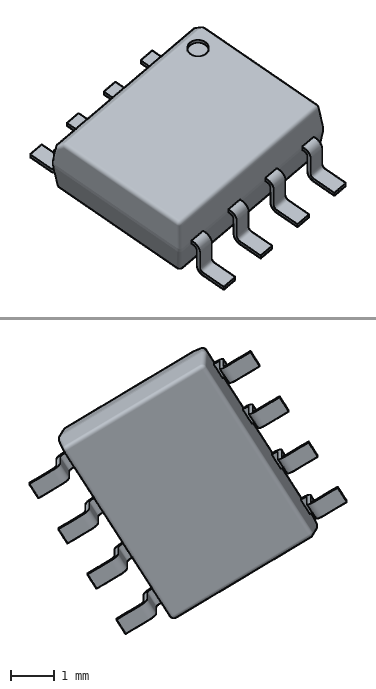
import cadquery as cq
import math

overall_length = 6.0
body_length = 4.0
body_width = 5.0
top_height = 1.75
standoff = 0.065

lead_thickness = 0.11
lead_width = 0.4
lead_pitch = 1.27
leads_per_side = 4
foot_length = 0.635
bend_radius = 0.095
lead_top = 0.965

band_top = lead_top
band_bottom = lead_top - lead_thickness
draft_angle = 6.0
edge_radius = 0.1
bevel_leg = 0.305

dimple_diameter = 0.5
dimple_depth = 0.1
dimple_inset = 0.67


def make_tapered_block(height):
    """Block that stands on the XY plane and narrows upward from the full body outline."""
    return (
        cq.Workplane("XY")
        .rect(body_length, body_width)
        .extrude(height, taper=draft_angle)
    )


def round_all_but_base(block):
    """Fillet every edge of a block except those of its bottom face."""
    base_edges = cq.selectors.DirectionMinMaxSelector(cq.Vector(0, 0, 1), directionMax=False)
    return block.edges(cq.selectors.InverseSelector(base_edges)).fillet(edge_radius)


def make_bevel_cutter():
    """Triangular bar that bevels the -X edge of the upper half at 45 degrees."""
    return (
        cq.Workplane("XZ")
        .moveTo(-body_length / 2, top_height - band_top)
        .line(bevel_leg, 0)
        .line(-bevel_leg, -bevel_leg)
        .close()
        .extrude(body_width / 2, both=True)
    )


def make_dimple():
    return (
        cq.Workplane("XY", origin=(0, 0, top_height))
        .center(dimple_inset - body_length / 2, body_width / 2 - dimple_inset)
        .circle(dimple_diameter / 2)
        .extrude(-dimple_depth)
    )


def make_body():
    """Moulded body: rounded upper and lower halves meet at the parting band."""
    upper = make_tapered_block(top_height - band_top).cut(make_bevel_cutter())
    upper = round_all_but_base(upper).translate((0, 0, band_top))
    lower = round_all_but_base(make_tapered_block(band_bottom - standoff))
    lower = lower.mirror("XY").translate((0, 0, band_bottom))
    lower_with_band = lower.faces(">Z").wires().toPending().extrude(band_top - band_bottom)
    return lower_with_band.union(upper).cut(make_dimple())


def make_lead(y):
    """Gull-wing lead on the -X side, centred at the given Y."""
    outer_radius = bend_radius + lead_thickness
    tip = -overall_length / 2
    inner_face = tip + foot_length + outer_radius
    outer_face = inner_face - lead_thickness
    shoulder = outer_face + outer_radius

    lower_centre = (tip + foot_length, outer_radius)
    upper_centre = (shoulder, lead_top - outer_radius)

    def on_bend(centre, radius, direction):
        """Middle of a bend arc: lower right of the centre for 1, upper left for -1."""
        offset = direction * radius * math.sqrt(0.5)
        return (centre[0] + offset, centre[1] - offset)

    return (
        cq.Workplane("XZ", origin=(0, y, 0))
        .moveTo(tip, 0)
        .lineTo(tip + foot_length, 0)
        .threePointArc(on_bend(lower_centre, outer_radius, 1), (inner_face, outer_radius))
        .lineTo(inner_face, lead_top - outer_radius)
        .threePointArc(on_bend(upper_centre, bend_radius, -1), (shoulder, band_bottom))
        .lineTo(-body_length / 2, band_bottom)
        .lineTo(-body_length / 2, band_top)
        .lineTo(shoulder, band_top)
        .threePointArc(on_bend(upper_centre, outer_radius, -1), (outer_face, lead_top - outer_radius))
        .lineTo(outer_face, outer_radius)
        .threePointArc(on_bend(lower_centre, bend_radius, 1), (tip + foot_length, lead_thickness))
        .lineTo(tip, lead_thickness)
        .close()
        .extrude(lead_width / 2, both=True)
    )


body = make_body()

leads = []
for index in range(leads_per_side):
    lead_y = (index - (leads_per_side - 1) / 2) * lead_pitch
    left_lead = make_lead(lead_y)
    leads.append(left_lead.val())
    leads.append(left_lead.mirror("YZ").val())

result = cq.Compound.makeCompound([body.solids().val(), *leads])